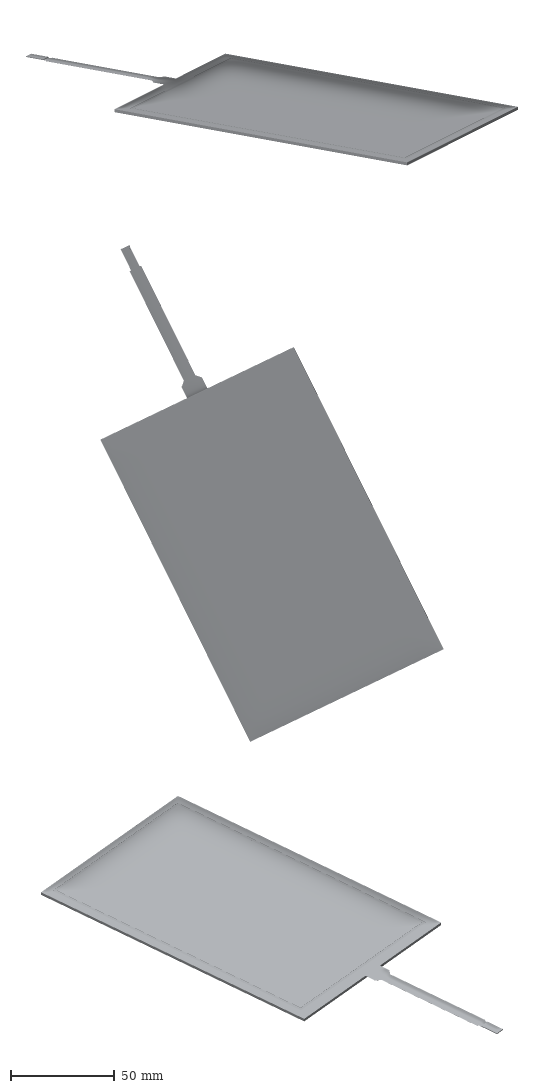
import cadquery as cq

OVERALL_LENGTH = 245.15
OVERALL_HEIGHT = 1.9

PANEL_LENGTH = 165.25
PANEL_WIDTH = 104.0
PANEL_THICKNESS = 1.5

GROOVE_DEPTH = 0.1
GROOVE_WIDTH = 1.5
GROOVE_MARGIN_CABLE_SIDE = 5.8
GROOVE_MARGIN_FAR_SIDE = 3.6
GROOVE_MARGIN_LONG_SIDES = 4.5

CABLE_LENGTH = OVERALL_LENGTH - PANEL_LENGTH
CABLE_THICKNESS = 0.05
CABLE_WIDTH = 6.2
ROOT_WIDTH = 11.0
ROOT_LENGTH = 6.0
ROOT_TAPER_LENGTH = 2.4
TIP_WIDTH = 4.6
TIP_LENGTH = 11.5

STIFFENER_LENGTH = 9.8
STIFFENER_THICKNESS = OVERALL_HEIGHT - PANEL_THICKNESS

PAD_COUNT = 4
PAD_PITCH = 1.0
PAD_LENGTH = 5.0
PAD_WIDTH = 0.6
PAD_THICKNESS = 0.05

CABLE_END_X = -CABLE_LENGTH
CABLE_TOP_Z = PANEL_THICKNESS
CABLE_BOTTOM_Z = CABLE_TOP_Z - CABLE_THICKNESS


def plate(start_x, center_y, bottom_z, length, width, thickness):
    """Flat rectangular plate running towards +X from start_x."""
    return cq.Workplane("XY", origin=(start_x, center_y, bottom_z)).box(
        length, width, thickness, centered=(False, True, False)
    )


def make_frame_groove():
    """Rectangular ring of material removed from the top of the panel."""
    outer_length = PANEL_LENGTH - GROOVE_MARGIN_CABLE_SIDE - GROOVE_MARGIN_FAR_SIDE
    outer_width = PANEL_WIDTH - 2 * GROOVE_MARGIN_LONG_SIDES
    center_x = GROOVE_MARGIN_CABLE_SIDE + outer_length / 2
    return (
        cq.Workplane("XY", origin=(center_x, 0, PANEL_THICKNESS))
        .rect(outer_length, outer_width)
        .rect(outer_length - 2 * GROOVE_WIDTH, outer_width - 2 * GROOVE_WIDTH)
        .extrude(-GROOVE_DEPTH)
    )


def make_panel():
    panel = plate(0, 0, 0, PANEL_LENGTH, PANEL_WIDTH, PANEL_THICKNESS)
    return panel.cut(make_frame_groove())


def make_ribbon():
    """Cable outline: wide root, taper, long run and a narrower tip."""
    tip_start_x = CABLE_END_X + TIP_LENGTH
    positive_y_edge = [
        (0, ROOT_WIDTH / 2),
        (-ROOT_LENGTH, ROOT_WIDTH / 2),
        (-ROOT_LENGTH - ROOT_TAPER_LENGTH, CABLE_WIDTH / 2),
        (tip_start_x, CABLE_WIDTH / 2),
        (tip_start_x, TIP_WIDTH / 2),
        (CABLE_END_X, TIP_WIDTH / 2),
    ]
    negative_y_edge = [(x, -y) for x, y in reversed(positive_y_edge)]
    return (
        cq.Workplane("XY", origin=(0, 0, CABLE_BOTTOM_Z))
        .polyline(positive_y_edge + negative_y_edge)
        .close()
        .extrude(CABLE_THICKNESS)
    )


def make_cable():
    stiffener = plate(CABLE_END_X, 0, CABLE_TOP_Z, STIFFENER_LENGTH, TIP_WIDTH, STIFFENER_THICKNESS)
    cable = make_ribbon().union(stiffener)
    pad_bottom_z = CABLE_BOTTOM_Z - PAD_THICKNESS
    for index in range(PAD_COUNT):
        pad_y = (index - (PAD_COUNT - 1) / 2) * PAD_PITCH
        pad = plate(CABLE_END_X, pad_y, pad_bottom_z, PAD_LENGTH, PAD_WIDTH, PAD_THICKNESS)
        cable = cable.union(pad)
    return cable


panel = make_panel()
cable = make_cable()

result = cq.Compound.makeCompound([panel.val(), cable.val()])